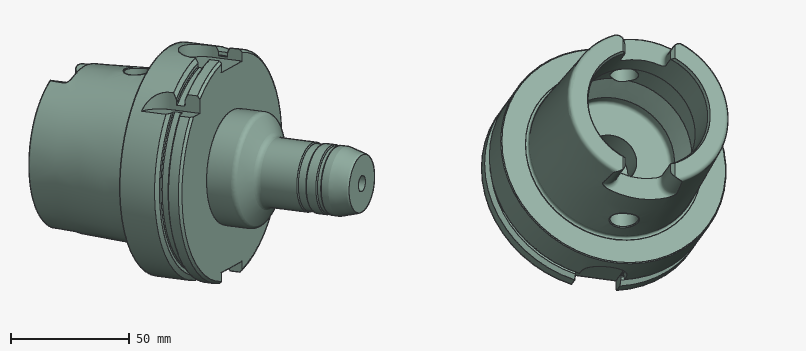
import cadquery as cq
import math


total_length = 140.0
flange_dia = 100.0

flange_start = 50.0
flange_end = flange_start + 29.0
flange_front_chamfer = 0.4
flange_back_chamfer = 1.1
groove_root_dia = 92.0
groove_start = 66.6
groove_end = 73.2
groove_side_run = 1.3
groove_side_drop = 2.1
groove_root_fillet = 0.4

taper_ratio = 0.1
taper_end = 48.0
taper_end_dia = 75.9
mouth_dia = taper_end_dia - taper_ratio * taper_end
mouth_round = 1.8
collar_start = 48.9
collar_dia = 75.5
collar_fillet = 1.0
face_recess_dia = 78.1
face_recess_depth = 0.3

neck_dia = 50.0
neck_base_step = 0.1
neck_base_length = 0.8
neck_round_start = 90.7
neck_round = 2.5
neck_cone_angle = math.radians(60)
nose_dia = 30.0
nose_fillet = 3.0
nose_groove_dia = 29.0
nose_grooves = ((116.6, 121.1), (125.6, 128.1))
nose_cone_start = 131.6
nose_cone_angle = math.radians(15)
tip_dia = 25.0
tip_length = 0.7
neck_cone_start = neck_round_start + neck_round * math.tan(neck_cone_angle / 2)
neck_cone_end = neck_cone_start + (neck_dia - nose_dia) / 2 / math.tan(neck_cone_angle)

bore_dia = 53.0
bore_chamfer = 0.7
bore_chamfer_length = 1.4
bore_end = 19.2
bore_lip_round = 0.5
undercut_dia = 63.0
undercut_end = 39.9
front_shoulder_angle = math.radians(60)
rear_shoulder_angle = math.radians(30)
floor_x = 53.2
floor_fillet = 1.5
tube_hole_dia = 22.4
tube_hole_depth = 12.6
coolant_dia = 12.0
coolant_depth = 28.0
through_dia = 6.9

cross_hole_dia = 12.0
cross_hole_x = 35.0
cross_hole_chamfer = 0.4

key_slot_width = 20.0
key_slot_round = 5.0
key_slot_top = 32.2
key_slot_corner = 2.1
key_slot_chamfer = 1.5
upper_key_slot_depth = 9.8
lower_key_slot_depth = 14.7

cutter_dia = 20.0
flange_slot_start = 54.9
flange_slot_floor = 44.0
notch_corner = 31.4

selection_margin = 0.1


def revolve(profile):
    return profile.close().revolve(360, (0, 0, 0), (1, 0, 0))


def box_around(low, high):
    """Selector for edges lying wholly inside a box, widened by a small margin."""
    return cq.selectors.BoxSelector(
        tuple(value - selection_margin for value in low),
        tuple(value + selection_margin for value in high),
        boundingbox=True,
    )


def circle_at(x, diameter):
    """Selector for the turned edge of a given diameter at X = x."""
    radius = diameter / 2
    return box_around((x, -radius, -radius), (x, radius, radius))


def turned_body():
    flange_radius = flange_dia / 2
    recess_x = flange_start + face_recess_depth
    collar_radius = collar_dia / 2
    wall_start = groove_start + groove_side_run
    wall_end = groove_end - groove_side_run
    root_radius = groove_root_dia / 2
    tip_start = total_length - tip_length
    tip_start_radius = nose_dia / 2 - (tip_start - nose_cone_start) * math.tan(nose_cone_angle)
    body = revolve(
        cq.Workplane("XY")
        .moveTo(0, 0)
        .lineTo(0, mouth_dia / 2)
        .lineTo(taper_end, taper_end_dia / 2)
        .lineTo(collar_start, collar_radius)
        .lineTo(recess_x - collar_fillet, collar_radius)
        .radiusArc((recess_x, collar_radius + collar_fillet), -collar_fillet)
        .lineTo(recess_x, face_recess_dia / 2)
        .lineTo(flange_start, face_recess_dia / 2)
        .lineTo(flange_start, flange_radius - flange_front_chamfer)
        .lineTo(flange_start + flange_front_chamfer, flange_radius)
        .lineTo(groove_start, flange_radius)
        .lineTo(wall_start, flange_radius - groove_side_drop)
        .lineTo(wall_start, root_radius + groove_root_fillet)
        .radiusArc((wall_start + groove_root_fillet, root_radius), -groove_root_fillet)
        .lineTo(wall_end - groove_root_fillet, root_radius)
        .radiusArc((wall_end, root_radius + groove_root_fillet), -groove_root_fillet)
        .lineTo(wall_end, flange_radius - groove_side_drop)
        .lineTo(groove_end, flange_radius)
        .lineTo(flange_end - flange_back_chamfer, flange_radius)
        .lineTo(flange_end, flange_radius - flange_back_chamfer)
        .lineTo(flange_end, neck_dia / 2 - neck_base_step)
        .lineTo(flange_end + neck_base_length, neck_dia / 2)
        .lineTo(neck_cone_start, neck_dia / 2)
        .lineTo(neck_cone_end, nose_dia / 2)
        .lineTo(nose_cone_start, nose_dia / 2)
        .lineTo(tip_start, tip_start_radius)
        .lineTo(total_length, tip_dia / 2)
        .lineTo(total_length, 0)
    )
    body = body.edges(circle_at(0, mouth_dia)).fillet(mouth_round)
    body = body.edges(circle_at(neck_cone_start, neck_dia)).fillet(neck_round)
    return body.edges(circle_at(neck_cone_end, nose_dia)).fillet(nose_fillet)


def nose_groove(start, end):
    """Shallow ring groove with 45 degree sides."""
    depth = (nose_dia - nose_groove_dia) / 2
    return revolve(
        cq.Workplane("XY")
        .moveTo(start, nose_dia / 2)
        .lineTo(start + depth, nose_groove_dia / 2)
        .lineTo(end - depth, nose_groove_dia / 2)
        .lineTo(end, nose_dia / 2)
    )


def cavity():
    """Clamping bore with undercut, tube hole, coolant hole and through hole."""
    bore_radius = bore_dia / 2
    undercut_radius = undercut_dia / 2
    lip_x = bore_end + bore_lip_round * math.sin(front_shoulder_angle)
    lip_radius = bore_radius + bore_lip_round * (1 - math.cos(front_shoulder_angle))
    undercut_start = lip_x + (undercut_radius - lip_radius) / math.tan(front_shoulder_angle)
    rear_bore_start = undercut_end + (undercut_radius - bore_radius) / math.tan(rear_shoulder_angle)
    tube_hole_end = floor_x + tube_hole_depth
    coolant_end = tube_hole_end + coolant_depth
    return revolve(
        cq.Workplane("XY")
        .moveTo(0, 0)
        .lineTo(0, bore_radius + bore_chamfer)
        .lineTo(bore_chamfer_length, bore_radius)
        .lineTo(bore_end, bore_radius)
        .radiusArc((lip_x, lip_radius), -bore_lip_round)
        .lineTo(undercut_start, undercut_radius)
        .lineTo(undercut_end, undercut_radius)
        .lineTo(rear_bore_start, bore_radius)
        .lineTo(floor_x - floor_fillet, bore_radius)
        .radiusArc((floor_x, bore_radius - floor_fillet), floor_fillet)
        .lineTo(floor_x, tube_hole_dia / 2)
        .lineTo(tube_hole_end, tube_hole_dia / 2)
        .lineTo(tube_hole_end, coolant_dia / 2)
        .lineTo(coolant_end, coolant_dia / 2)
        .lineTo(coolant_end, through_dia / 2)
        .lineTo(total_length, through_dia / 2)
        .lineTo(total_length, 0)
    )


def drill_cross_hole(body):
    """Drill through both shank walls along Z and chamfer the outer rims."""
    reach = flange_dia / 2
    radius = cross_hole_dia / 2
    hole = cq.Workplane("XY", origin=(cross_hole_x, 0, -reach)).circle(radius).extrude(2 * reach)
    body = body.cut(hole)
    for side in (1, -1):
        heights = sorted((side * (undercut_dia / 2 + 2 * selection_margin), side * reach))
        rim = box_around(
            (cross_hole_x - radius, -radius, heights[0]),
            (cross_hole_x + radius, radius, heights[1]),
        )
        body = body.edges(rim).chamfer(cross_hole_chamfer)
    return body


def key_slot(depth):
    """Upward drive key slot whose walls round over at the top, chamfered at the mouth."""
    half = key_slot_width / 2
    reach = flange_dia / 2
    wall_top = key_slot_top - key_slot_round
    round_end = half + key_slot_round
    slot = (
        cq.Workplane("YZ")
        .moveTo(-half, 0)
        .lineTo(half, 0)
        .lineTo(half, wall_top)
        .radiusArc((round_end, key_slot_top), key_slot_round)
        .lineTo(reach, key_slot_top)
        .lineTo(reach, reach)
        .lineTo(-reach, reach)
        .lineTo(-reach, key_slot_top)
        .lineTo(-round_end, key_slot_top)
        .radiusArc((-half, wall_top), key_slot_round)
        .close()
        .extrude(depth)
    )
    wall_foot = cq.selectors.BoxSelector(
        (depth - selection_margin, -round_end, selection_margin),
        (depth + selection_margin, round_end, key_slot_top - selection_margin),
    )
    slot = slot.faces(">X").edges(wall_foot).fillet(key_slot_corner)
    mouth_chamfer = (
        cq.Workplane("XY")
        .moveTo(0, -half - key_slot_chamfer)
        .lineTo(key_slot_chamfer, -half)
        .lineTo(key_slot_chamfer, half)
        .lineTo(0, half + key_slot_chamfer)
        .close()
        .extrude(reach)
    )
    return slot.union(mouth_chamfer)


def cutter_slot(center_y, floor_z):
    """Round-ended slot cut from above that runs out through the back of the flange."""
    radius = cutter_dia / 2
    center_x = flange_slot_start + radius
    return (
        cq.Workplane("XY", origin=(center_x, center_y, floor_z))
        .moveTo(0, radius)
        .radiusArc((-radius, 0), -radius)
        .radiusArc((0, -radius), -radius)
        .lineTo(flange_end - center_x, -radius)
        .lineTo(flange_end - center_x, radius)
        .close()
        .extrude(flange_dia / 2 - floor_z)
    )


result = turned_body()
for groove_from, groove_to in nose_grooves:
    result = result.cut(nose_groove(groove_from, groove_to))
result = result.cut(cavity())
result = drill_cross_hole(result)

result = result.cut(key_slot(upper_key_slot_depth))
result = result.cut(key_slot(lower_key_slot_depth).mirror("XY"))

flange_slot = cutter_slot(0, flange_slot_floor)
result = result.cut(flange_slot)
result = result.cut(flange_slot.mirror("XY"))
result = result.cut(cutter_slot(-notch_corner - cutter_dia / 2, notch_corner))
result = result.solids()